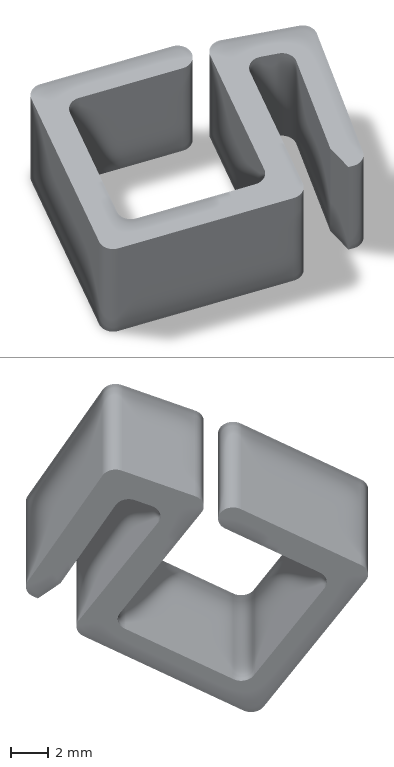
import cadquery as cq
import math

width = 12.01
height = 7.0
wall = 1.6
corner_radius = 0.8
shelf_top = 11.59
hook_tip_y = 9.11
total_length = 15.85

upright_foot_x = 0.4
upright_lean = math.radians(6.8)
bar_droop = math.radians(3.4)
bar_length = 10.0
end_face = 1.05
lead_in_length = 1.5

shelf_bottom = shelf_top - wall

round_centre_y = total_length - corner_radius
round_centre_x = (
    upright_foot_x
    + (round_centre_y - shelf_bottom) * math.tan(upright_lean)
    + corner_radius / math.cos(upright_lean)
)


def upright_x(y, inset=0.0):
    """X of the upright's face at height y, set in from the outer face."""
    offset = inset / math.cos(upright_lean)
    return upright_foot_x + (y - shelf_bottom) * math.tan(upright_lean) + offset


def bar_corner(inset):
    """Meeting point of the upright and bar faces set in by the given amount."""
    bar_y_at_centre = round_centre_y + (corner_radius - inset) / math.cos(bar_droop)
    bar_y_at_zero = bar_y_at_centre + round_centre_x * math.tan(bar_droop)
    y = (bar_y_at_zero - upright_x(0, inset) * math.tan(bar_droop)) / (
        1 + math.tan(upright_lean) * math.tan(bar_droop)
    )
    return upright_x(y, inset), y


outer_bar_corner = bar_corner(0)
inner_bar_corner = bar_corner(wall)


def on_bar(along, depth):
    """Point at a distance along the bar and a depth below its top face."""
    x, y = outer_bar_corner
    return (
        x + along * math.cos(bar_droop) - depth * math.sin(bar_droop),
        y - along * math.sin(bar_droop) - depth * math.cos(bar_droop),
    )


bar_end_top = on_bar(bar_length, 0)
bar_end_bottom = on_bar(bar_length, end_face)
lead_in_start = on_bar(bar_length - lead_in_length, wall)

inner_loop = [
    (wall, wall),
    (width - wall, wall),
    (width - wall, shelf_bottom),
]
arm_outside = [
    (upright_foot_x, shelf_bottom),
    outer_bar_corner,
    bar_end_top,
]
lead_in = [bar_end_bottom, lead_in_start]
arm_inside = [
    inner_bar_corner,
    (upright_x(shelf_top, wall), shelf_top),
]
outer_loop = [
    (width, shelf_top),
    (width, 0),
    (0, 0),
]
rounded_corners = inner_loop + arm_outside + arm_inside + outer_loop

tip_radius = wall / 2
tip_base_y = hook_tip_y - tip_radius
outline = inner_loop + arm_outside + lead_in + arm_inside + outer_loop
strip = (
    cq.Workplane("XY")
    .moveTo(wall, tip_base_y)
    .polyline(outline + [(0, tip_base_y)], includeCurrent=True)
    .threePointArc((tip_radius, hook_tip_y), (wall, tip_base_y))
    .close()
    .extrude(height)
)

corner_edges = cq.Workplane("XY")
for x, y in rounded_corners:
    edge = strip.edges("|Z").edges(cq.NearestToPointSelector((x, y, height / 2)))
    corner_edges = corner_edges.add(edge)
result = strip.newObject(corner_edges.vals()).fillet(corner_radius)